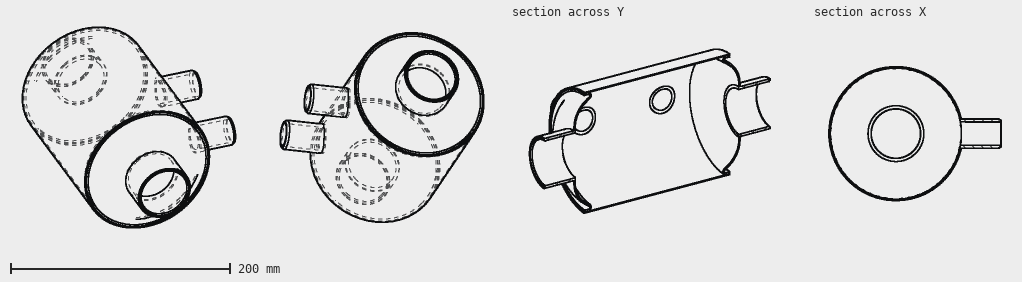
import cadquery as cq
import math

overall_length = 242.0
shell_length = 155.5
shell_radius = 122.0 / 2
shell_bore_radius = 119.0 / 2

head_thickness = 2.0
head_tip_x = 89.3
head_flat_radius = 27.5
dome_radius = 31.0
dome_edge_radius = 55.0

pipe_radius = 50.8 / 2
pipe_bore_radius = 44.8 / 2
pipe_chamfer = 0.5
pipe_bore_chamfer = 1.2

nozzle_radius = 26.9 / 2
nozzle_bore_radius = 20.8 / 2
nozzle_spacing = 84.7
nozzle_end_y = 95.5
nozzle_chamfer_width = 1.5
nozzle_chamfer_depth = 2.2


def x_cylinder(radius, start_x, end_x):
    """Cylinder on the vessel axis."""
    return cq.Workplane("YZ", origin=(start_x, 0, 0)).circle(radius).extrude(end_x - start_x)


def nozzle_cylinder(radius, centre_x):
    """Cylinder from the vessel axis out to the nozzle end, along +Y."""
    return cq.Workplane("XZ", origin=(centre_x, 0, 0)).circle(radius).extrude(-nozzle_end_y)


def make_shell():
    """Straight tube with one round opening for each nozzle."""
    half_length = shell_length / 2
    tube = x_cylinder(shell_radius, -half_length, half_length)
    tube = tube.cut(x_cylinder(shell_bore_radius, -half_length, half_length))
    for centre_x in nozzle_centres:
        tube = tube.cut(nozzle_cylinder(nozzle_radius, centre_x))
    return tube


def make_head():
    """Dome on the +X end, with a pipe hole and a return flange flush with the shell end."""
    flange_inner_radius = shell_bore_radius - head_thickness
    rim_x = shell_length / 2
    dome_centre_x = head_tip_x - dome_radius

    edge_sine = (dome_edge_radius - head_flat_radius) / dome_radius
    edge_angle = math.asin(edge_sine)
    turn_radius = (flange_inner_radius - dome_edge_radius) / (1 + edge_sine)
    turn_centre_x = dome_centre_x + (dome_radius + turn_radius) * math.cos(edge_angle)
    turn_centre_r = flange_inner_radius - turn_radius

    def on_dome(radius, angle):
        return (dome_centre_x + radius * math.cos(angle), head_flat_radius + radius * math.sin(angle))

    def on_turn(radius, angle):
        return (turn_centre_x - radius * math.cos(angle), turn_centre_r - radius * math.sin(angle))

    dome_inner_radius = dome_radius - head_thickness
    turn_outer_radius = turn_radius + head_thickness
    turn_middle_angle = (edge_angle - math.pi / 2) / 2
    profile = (
        cq.Workplane("XY")
        .moveTo(head_tip_x, pipe_radius)
        .lineTo(head_tip_x, head_flat_radius)
        .threePointArc(on_dome(dome_radius, edge_angle / 2), on_dome(dome_radius, edge_angle))
        .threePointArc(on_turn(turn_radius, turn_middle_angle), (turn_centre_x, flange_inner_radius))
        .lineTo(rim_x, flange_inner_radius)
        .lineTo(rim_x, shell_bore_radius)
        .lineTo(turn_centre_x, shell_bore_radius)
        .threePointArc(on_turn(turn_outer_radius, turn_middle_angle), on_turn(turn_outer_radius, edge_angle))
        .threePointArc(on_dome(dome_inner_radius, edge_angle / 2), on_dome(dome_inner_radius, 0))
        .lineTo(head_tip_x - head_thickness, pipe_radius)
        .close()
    )
    return profile.revolve(360, (0, 0, 0), (1, 0, 0))


def make_pipe():
    """End pipe on the +X end, set into the head and chamfered at its free end."""
    end_x = overall_length / 2
    inner_end_x = head_tip_x - head_thickness
    profile = (
        cq.Workplane("XY")
        .moveTo(inner_end_x, pipe_bore_radius)
        .lineTo(inner_end_x, pipe_radius)
        .lineTo(end_x - pipe_chamfer, pipe_radius)
        .lineTo(end_x, pipe_radius - pipe_chamfer)
        .lineTo(end_x, pipe_bore_radius + pipe_bore_chamfer)
        .lineTo(end_x - pipe_bore_chamfer, pipe_bore_radius)
        .close()
    )
    return profile.revolve(360, (0, 0, 0), (1, 0, 0))


def make_nozzle(centre_x):
    """Side tube ending flush with the shell bore, bevelled at its free end."""
    tube = nozzle_cylinder(nozzle_radius, centre_x)
    tube = tube.faces(">Y").edges().chamfer(nozzle_chamfer_depth, nozzle_chamfer_width)
    tube = tube.cut(nozzle_cylinder(nozzle_bore_radius, centre_x))
    return tube.cut(x_cylinder(shell_bore_radius, -shell_length / 2, shell_length / 2))


nozzle_centres = [-nozzle_spacing / 2, nozzle_spacing / 2]

shell = make_shell()
bodies = [shell.val()]
for end_angle in (0, 180):
    for make_end_part in (make_head, make_pipe):
        end_part = make_end_part().rotate((0, 0, 0), (0, 0, 1), end_angle)
        bodies.append(end_part.val())
for centre_x in nozzle_centres:
    bodies.append(make_nozzle(centre_x).val())

result = cq.Compound.makeCompound(bodies)